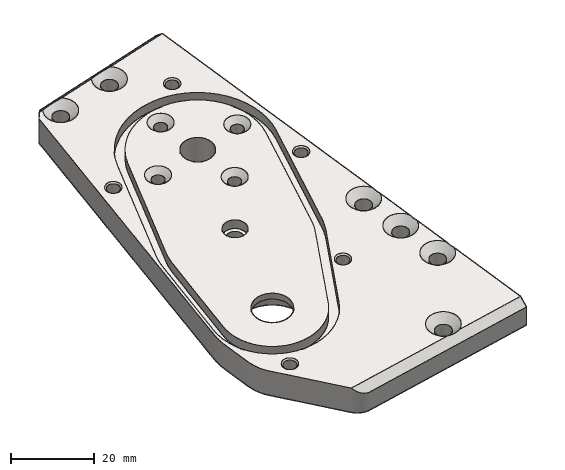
import cadquery as cq
import math

length = 129.5
width = 63.2
thickness = 8.0
side_bevel = 2.1

left_corner_y = 25.0
left_cut = 3.6
lower_edge_angle = 14.0
nose_angle = 30.0
right_edge_lean = 4.7
nose_edge_point = (122.5, 11.4)
lower_edge_round = 20.2
nose_round = 11.7
right_corner_round = 5.0

small_shaft = (37.4, 41.7)
large_shaft = (89.9, 17.1)
small_end_radius = 17.4
large_end_radius = 13.5
waist_radius = 18.3
waist_share = 0.56
groove_width = 2.6
groove_depth = 3.0

small_bore = 8.5
large_bore = 10.2
bearing_seat = 19.0
bearing_lip = 2.0

edge_screw_hole = 4.3
edge_screw_head = 8.5
top_row_pitch = 13.0
top_row_y = 59.0
side_screw_y = 43.1
left_screw_x = 5.0
left_screw_pitch = 15.9
right_screw_x = 121.9

motor_screw_hole = 3.4
motor_screw_head = 6.5
motor_screw_radius = 13.0

middle_hole = 4.3
middle_counterbore = 6.2
middle_counterbore_depth = 2.8

cover_hole = 3.4
cover_lead_in = 4.1
cover_points = [(16.5, 53.0), (54.8, 59.3), (89.0, 41.0), (107.0, 6.9), (33.3, 18.0)]

countersink_angle = 90.0


def plate():
    """Plate with bevelled left and right top edges, cut to the rounded outline."""
    lower_slope = math.tan(math.radians(lower_edge_angle))
    nose_slope = math.tan(math.radians(nose_angle))
    lean = math.tan(math.radians(right_edge_lean))

    bevelled = (
        cq.Workplane("XY")
        .polyline([(0, 0), (length - width * lean, 0), (length, width), (0, width)])
        .close()
        .extrude(thickness)
    )
    for side in ("<X", ">X"):
        bevelled = bevelled.faces(">Z").edges(side).chamfer(side_bevel)

    corner_y = left_corner_y - left_cut
    lower_edge_x0 = corner_y + left_cut * lower_slope
    foot_x = lower_edge_x0 / lower_slope
    nose_foot_x = nose_edge_point[0] - nose_edge_point[1] / nose_slope
    right_y = (length - width * lean - nose_foot_x) / (1 / nose_slope - lean)
    right_x = length - (width - right_y) * lean

    outline = (
        cq.Workplane("XY")
        .polyline([
            (0, left_corner_y),
            (left_cut, corner_y),
            (foot_x, 0),
            (nose_foot_x, 0),
            (right_x, right_y),
            (length, width),
            (0, width),
        ])
        .close()
        .extrude(thickness)
    )
    rounded_corners = [
        (foot_x, 0, lower_edge_round),
        (nose_foot_x, 0, nose_round),
        (right_x, right_y, right_corner_round),
    ]
    for x, y, radius in rounded_corners:
        nearest = cq.selectors.NearestToPointSelector((x, y, thickness / 2))
        outline = outline.edges("|Z").edges(nearest).fillet(radius)
    return bevelled.intersect(outline)


def between_shafts(share):
    """Point on the line from the small shaft to the large one."""
    return tuple(a + share * (b - a) for a, b in zip(small_shaft, large_shaft))


def belt(first, first_radius, second, second_radius, depth):
    """Solid under the top face enclosed by two circles and their outer tangents."""
    dx = second[0] - first[0]
    dy = second[1] - first[1]
    axis = math.atan2(dy, dx)
    spread = math.acos((first_radius - second_radius) / math.hypot(dx, dy))

    def rim(center, radius, angle):
        return (center[0] + radius * math.cos(angle), center[1] + radius * math.sin(angle))

    return (
        cq.Workplane("XY", origin=(0, 0, thickness - depth))
        .moveTo(*rim(first, first_radius, axis + spread))
        .threePointArc(
            rim(first, first_radius, axis + math.pi),
            rim(first, first_radius, axis - spread),
        )
        .lineTo(*rim(second, second_radius, axis - spread))
        .threePointArc(
            rim(second, second_radius, axis),
            rim(second, second_radius, axis + spread),
        )
        .close()
        .extrude(depth)
    )


def racetrack(offset):
    """Both ends belted to the wider waist, grown outward by the offset."""
    waist = between_shafts(waist_share)
    small_half = belt(
        small_shaft, small_end_radius + offset, waist, waist_radius + offset, groove_depth
    )
    large_half = belt(
        waist, waist_radius + offset, large_shaft, large_end_radius + offset, groove_depth
    )
    return small_half.union(large_half)


def on_top(body, points):
    """Top-face workplane with the given XY points selected."""
    return body.copyWorkplane(cq.Workplane("XY", origin=(0, 0, thickness))).pushPoints(points)


def edge_screw_points():
    top_row = [(large_shaft[0] + i * top_row_pitch, top_row_y) for i in (-1, 0, 1)]
    left_pair = [(left_screw_x, side_screw_y - i * left_screw_pitch) for i in (0, 1)]
    return top_row + left_pair + [(right_screw_x, side_screw_y)]


def motor_screw_points():
    x, y = small_shaft
    r = motor_screw_radius
    return [(x + r, y), (x - r, y), (x, y + r), (x, y - r)]


result = plate().cut(racetrack(groove_width).cut(racetrack(0)))

result = on_top(result, [small_shaft]).hole(small_bore)
result = on_top(result, [large_shaft]).hole(large_bore)
seat = (
    cq.Workplane("XY")
    .center(*large_shaft)
    .circle(bearing_seat / 2)
    .extrude(thickness - bearing_lip)
)
result = result.cut(seat)

countersunk_sets = [
    (edge_screw_points(), edge_screw_hole, edge_screw_head),
    (motor_screw_points(), motor_screw_hole, motor_screw_head),
    (cover_points, cover_hole, cover_lead_in),
]
for points, hole, head in countersunk_sets:
    result = on_top(result, points).cskHole(hole, head, countersink_angle)
result = on_top(result, [between_shafts(0.5)]).cboreHole(
    middle_hole, middle_counterbore, middle_counterbore_depth
)